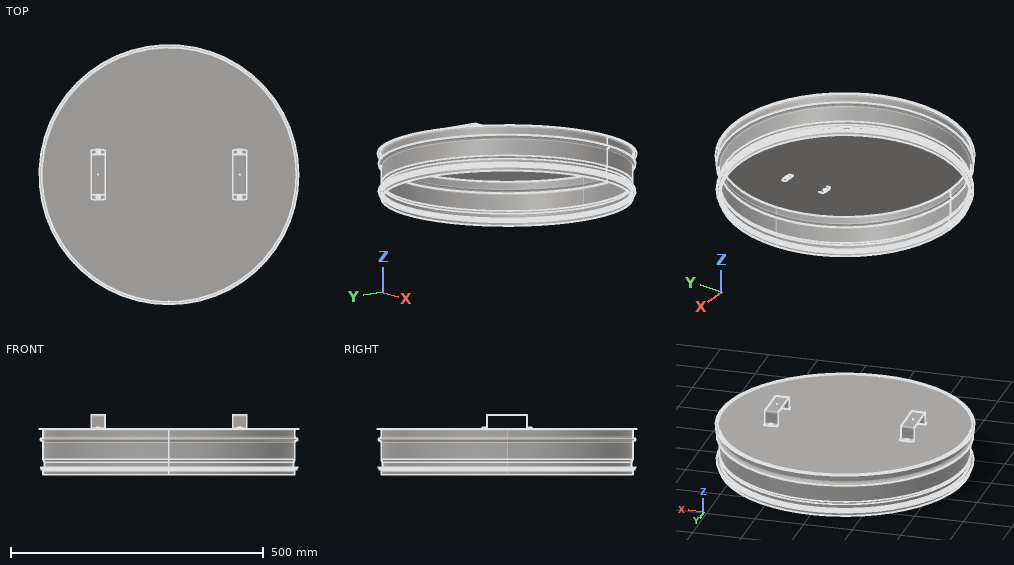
import cadquery as cq

sheet = 0.5
flange_diameter = 513.0
wall_diameter = 499.0
neck_diameter = 494.0
bead_diameter = 509.0
sleeve_height = 91.0
bead_height = 70.0
bead_root_radius = 2.5
neck_top = 24.5
taper_top = 31.0
neck_bottom = 8.0
flange_bend = 1.5
bottom_bend = 1.5
seam_gap = 0.1

upper_lip_diameter = 509.0
lower_lip_diameter = 506.0
gasket_band_diameter = 495.5
gasket_top = 15.5
lip_thickness = 1.3
lower_lip_top = 11.5

lid_diameter = 504.0
lid_top = sleeve_height + sheet

handle_spacing = 280.0
handle_width = 27.5
handle_span = 80.0
foot_span = 100.0
handle_height = 27.5
handle_sheet = 1.0
handle_bend = 1.0
foot_arc_rise = 2.0
grip_hole_diameter = 1.0

rivet_spacing = 90.5
shank_diameter = 4.0
head_diameter = 8.0
head_top_diameter = 5.1
head_height = 1.8
mandrel_hole_diameter = 2.0


def revolve(profile):
    return profile.close().revolve(360, (0, 0, 0), (0, 1, 0))


def make_sleeve():
    wall_r = wall_diameter / 2
    neck_r = neck_diameter / 2
    flange_r = flange_diameter / 2
    crest_center = wall_r + bead_root_radius
    crest_radius = bead_diameter / 2 - crest_center
    bead_half_width = crest_radius + bead_root_radius
    flange_under = sleeve_height - sheet
    inner_r = wall_r - sheet
    inner_root = bead_root_radius + sheet
    inner_crest = crest_radius - sheet
    profile = (
        cq.Workplane("XZ")
        .moveTo(wall_r - bottom_bend, 0)
        .radiusArc((wall_r, bottom_bend), -bottom_bend)
        .lineTo(wall_r, neck_bottom)
        .lineTo(neck_r, neck_bottom)
        .lineTo(neck_r, neck_top)
        .lineTo(wall_r, taper_top)
        .lineTo(wall_r, bead_height - bead_half_width)
        .radiusArc((crest_center, bead_height - crest_radius), bead_root_radius)
        .threePointArc(
            (crest_center + crest_radius, bead_height),
            (crest_center, bead_height + crest_radius),
        )
        .radiusArc((wall_r, bead_height + bead_half_width), bead_root_radius)
        .lineTo(wall_r, flange_under - flange_bend)
        .radiusArc((wall_r + flange_bend, flange_under), flange_bend)
        .lineTo(flange_r, flange_under)
        .lineTo(flange_r, sleeve_height)
        .lineTo(wall_r + flange_bend, sleeve_height)
        .radiusArc((inner_r, flange_under - flange_bend), -flange_bend - sheet)
        .lineTo(inner_r, bead_height + bead_half_width)
        .radiusArc((crest_center, bead_height + inner_crest), -inner_root)
        .threePointArc(
            (crest_center + inner_crest, bead_height),
            (crest_center, bead_height - inner_crest),
        )
        .radiusArc((inner_r, bead_height - bead_half_width), -inner_root)
        .lineTo(inner_r, taper_top)
        .lineTo(neck_r - sheet, neck_top)
        .lineTo(neck_r - sheet, neck_bottom - sheet)
        .lineTo(inner_r, neck_bottom - sheet)
        .lineTo(inner_r, bottom_bend)
        .radiusArc((wall_r - bottom_bend, sheet), bottom_bend - sheet)
    )
    seam = (
        cq.Workplane("XY")
        .box(seam_gap, flange_r, sleeve_height, centered=(True, False, False))
        .translate((0, -flange_r, 0))
    )
    return revolve(profile).cut(seam)


def make_gasket():
    neck_r = neck_diameter / 2
    band_r = gasket_band_diameter / 2
    upper_r = upper_lip_diameter / 2
    lower_r = lower_lip_diameter / 2
    profile = (
        cq.Workplane("XZ")
        .moveTo(neck_r, neck_bottom)
        .lineTo(band_r, neck_bottom)
        .lineTo(band_r, lower_lip_top - lip_thickness)
        .lineTo(lower_r, lower_lip_top - lip_thickness)
        .lineTo(lower_r, lower_lip_top)
        .lineTo(band_r, lower_lip_top)
        .lineTo(band_r, gasket_top - lip_thickness)
        .lineTo(upper_r, gasket_top - lip_thickness)
        .lineTo(upper_r, gasket_top)
        .lineTo(neck_r, gasket_top)
    )
    return revolve(profile)


def rivet_places():
    return [
        (side * handle_spacing / 2, end * rivet_spacing / 2)
        for side in (-1, 1)
        for end in (-1, 1)
    ]


def make_lid():
    return (
        cq.Workplane("XY")
        .workplane(offset=sleeve_height)
        .circle(lid_diameter / 2)
        .pushPoints(rivet_places())
        .circle(shank_diameter / 2)
        .extrude(sheet)
    )


def make_handle(x):
    half_foot = foot_span / 2
    outer_bend = handle_bend + handle_sheet
    inner_leg = handle_span / 2 - handle_sheet
    grip_under = handle_height - handle_sheet
    half_strip = (
        cq.Workplane("YZ")
        .moveTo(half_foot, 0)
        .lineTo(inner_leg + outer_bend, 0)
        .radiusArc((inner_leg, outer_bend), outer_bend)
        .lineTo(inner_leg, grip_under - handle_bend)
        .radiusArc((inner_leg - handle_bend, grip_under), -handle_bend)
        .lineTo(0, grip_under)
        .lineTo(0, handle_height)
        .lineTo(inner_leg - handle_bend, handle_height)
        .radiusArc((inner_leg + handle_sheet, handle_height - outer_bend), outer_bend)
        .lineTo(inner_leg + handle_sheet, outer_bend)
        .radiusArc((inner_leg + outer_bend, handle_sheet), -handle_bend)
        .lineTo(half_foot, handle_sheet)
        .close()
        .extrude(handle_width / 2, both=True)
    )
    strip = half_strip.union(half_strip.mirror("XZ"))
    half_width = handle_width / 2
    corner = half_foot - foot_arc_rise
    outline = (
        cq.Workplane("XY")
        .moveTo(-half_width, -corner)
        .threePointArc((0, -half_foot), (half_width, -corner))
        .lineTo(half_width, corner)
        .threePointArc((0, half_foot), (-half_width, corner))
        .close()
        .extrude(handle_height)
    )
    rivet_holes = (
        cq.Workplane("XY")
        .pushPoints([(0, -rivet_spacing / 2), (0, rivet_spacing / 2)])
        .circle(shank_diameter / 2)
        .extrude(handle_sheet)
    )
    grip_hole = cq.Workplane("XY").circle(grip_hole_diameter / 2).extrude(handle_height)
    handle = strip.intersect(outline).cut(rivet_holes).cut(grip_hole)
    return handle.translate((x, 0, lid_top))


def make_rivet(x, y):
    head_base = sheet + handle_sheet
    head_top = head_base + head_height
    profile = (
        cq.Workplane("XZ")
        .lineTo(shank_diameter / 2, 0)
        .lineTo(shank_diameter / 2, head_base)
        .lineTo(head_diameter / 2, head_base)
        .lineTo(head_top_diameter / 2, head_top)
        .lineTo(mandrel_hole_diameter / 2, head_top)
        .lineTo(mandrel_hole_diameter / 2, head_base)
        .lineTo(0, head_base)
    )
    return revolve(profile).translate((x, y, sleeve_height))


sleeve = make_sleeve()
gasket = make_gasket()
lid = make_lid()
handles = [make_handle(side * handle_spacing / 2) for side in (-1, 1)]
rivets = [make_rivet(x, y) for x, y in rivet_places()]

result = cq.Compound.makeCompound(
    [sleeve.val(), gasket.val(), lid.val()]
    + [handle.val() for handle in handles]
    + [rivet.val() for rivet in rivets]
)